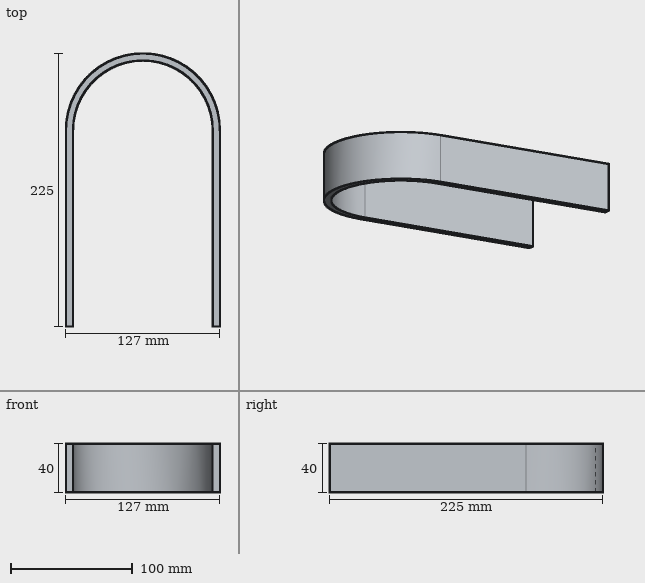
import cadquery as cq

total_length = 225.0
total_width = 127.0
strap_height = 40.0
wall = 6.0

outer_radius = total_width / 2
inner_radius = outer_radius - wall
leg_length = total_length - outer_radius

result = (
    cq.Workplane("XY")
    .moveTo(-outer_radius, -leg_length)
    .lineTo(-outer_radius, 0)
    .threePointArc((0, outer_radius), (outer_radius, 0))
    .lineTo(outer_radius, -leg_length)
    .lineTo(inner_radius, -leg_length)
    .lineTo(inner_radius, 0)
    .threePointArc((0, inner_radius), (-inner_radius, 0))
    .lineTo(-inner_radius, -leg_length)
    .close()
    .extrude(strap_height)
)